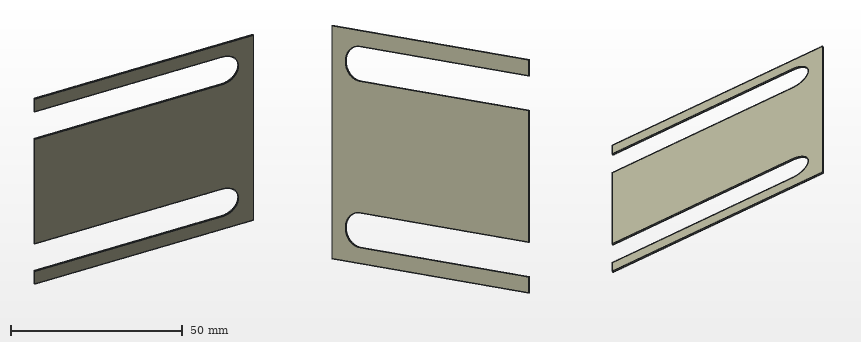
import cadquery as cq

side = 70.0
thickness = 0.5

slot_width = 10.4
slot_spacing = 50.0
slot_end_inset = 10.0

slot_radius = slot_width / 2
open_edge_y = -side / 2
round_center_y = side / 2 - slot_end_inset


def open_slot(center_z):
    """Cutter for one slot, running in from the -Y edge."""
    bottom_z = center_z - slot_radius
    top_z = center_z + slot_radius
    return (
        cq.Workplane("YZ")
        .moveTo(open_edge_y, bottom_z)
        .lineTo(round_center_y, bottom_z)
        .threePointArc((round_center_y + slot_radius, center_z), (round_center_y, top_z))
        .lineTo(open_edge_y, top_z)
        .close()
        .extrude(thickness, both=True)
    )


result = cq.Workplane("XY").box(thickness, side, side)
for center_z in (-slot_spacing / 2, slot_spacing / 2):
    result = result.cut(open_slot(center_z))